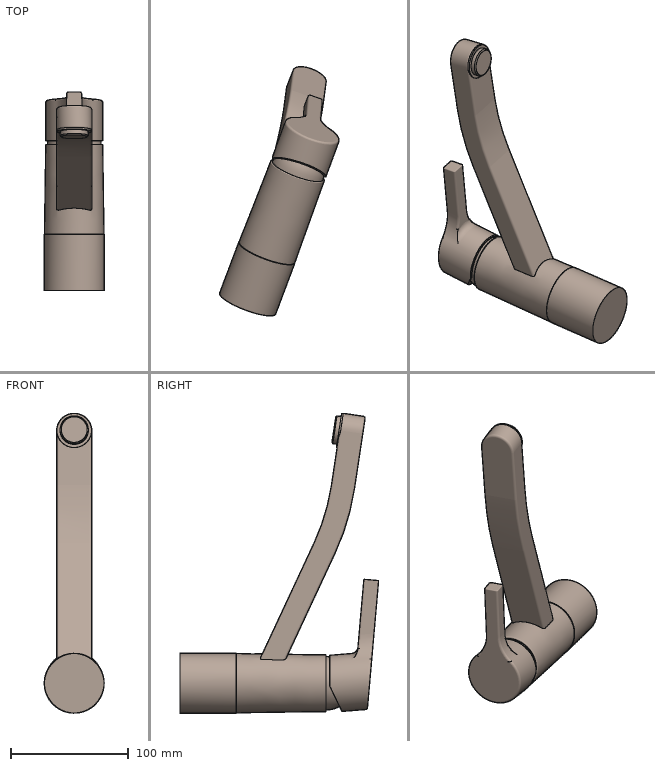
import cadquery as cq
import math

base_radius = 25.5
base_length = 48.0
base_chamfer = 0.3
body_end_y = 124.2
body_front_radius = 25.4
body_rear_radius = 24.3
body_edge_fillet = 1.0

neck_radius = 22.9

spout_width = 30.0
spout_depth = 20.0
spout_edge_fillet = 2.0
spout_axis_y = 69.4
spout_lower_lean = 25.0
spout_upper_lean = 8.6
spout_bend_y = 134.4
spout_bend_radius = 190.0
head_center_z = 213.14

collar_radius = 14.7
collar_proud = 0.5
aerator_radius = 12.0
aerator_length = 4.5
aerator_chamfer = 1.0

cap_radius = 24.3
cap_pivot_y = 133.5
cap_tilt = 4.5
cap_front_y = 127.0
cap_front_chamfer = 0.7
relief_top_z = -1.7
relief_slope = 25.6
rear_plane_y = 161.3
lever_lean = 5.0
lever_thickness = 12.8
lever_width = 12.8
lever_tip = 87.6
handle_edge_fillet = 1.8
lever_tip_fillet = 0.8
lever_root_fillet = 6.0
flare_start = 39.4

LARGE = 400.0


def turned(outline):
    """Revolve a closed half outline, drawn in X (radius) and Y, about the Y axis."""
    return outline.revolve(360, (0, 0, 0), (0, 1, 0))


def make_base():
    return (
        cq.Workplane("XZ").circle(base_radius).extrude(-base_length)
        .faces(">Y").edges().chamfer(base_chamfer)
    )


def up_direction(lean):
    """(y, z) unit vector that leans towards +Y by an angle from vertical."""
    angle = math.radians(lean)
    return math.sin(angle), math.cos(angle)


lower_y, lower_z = up_direction(spout_lower_lean)
upper_y, upper_z = up_direction(spout_upper_lean)
spout_bend_z = (spout_bend_y - spout_axis_y) * lower_z / lower_y
head_center_y = spout_bend_y + (head_center_z - spout_bend_z) * upper_y / upper_z


def head_plane(offset):
    """Plane parallel to the head front, facing forward, offset from the head centre."""
    normal = (0, -upper_z, upper_y)
    origin = (0, head_center_y - offset * upper_z, head_center_z + offset * upper_y)
    return cq.Plane(origin=origin, xDir=(1, 0, 0), normal=normal)


def make_spout():
    """Bent bar with a rounded head and the collar that carries the aerator."""
    half_turn = math.radians(spout_lower_lean - spout_upper_lean) / 2
    tangent = spout_bend_radius * math.tan(half_turn)
    start = (spout_bend_y - tangent * lower_y, spout_bend_z - tangent * lower_z)
    end = (spout_bend_y + tangent * upper_y, spout_bend_z + tangent * upper_z)
    center = (start[0] - spout_bend_radius * lower_z, start[1] + spout_bend_radius * lower_y)
    mid_lean = math.radians(spout_lower_lean + spout_upper_lean) / 2

    def offset(point, direction, distance):
        """Step sideways from a centreline point, towards the rear when positive."""
        return point[0] + distance * direction[1], point[1] - distance * direction[0]

    def bend_middle(distance):
        radius = spout_bend_radius + distance
        return center[0] + radius * math.cos(mid_lean), center[1] - radius * math.sin(mid_lean)

    lower = (lower_y, lower_z)
    upper = (upper_y, upper_z)
    half = spout_depth / 2
    foot = (spout_axis_y, 0)
    top = (head_center_y + spout_width / 2 * upper_y, head_center_z + spout_width / 2 * upper_z)
    side = (
        cq.Workplane("YZ")
        .moveTo(*offset(foot, lower, half))
        .lineTo(*offset(start, lower, half))
        .threePointArc(bend_middle(half), offset(end, upper, half))
        .lineTo(*offset(top, upper, half))
        .lineTo(*offset(top, upper, -half))
        .lineTo(*offset(end, upper, -half))
        .threePointArc(bend_middle(-half), offset(start, lower, -half))
        .lineTo(*offset(foot, lower, -half))
        .close()
        .extrude(spout_width / 2, both=True)
    )
    rounding = cq.Workplane(head_plane(-LARGE / 2)).circle(spout_width / 2).extrude(LARGE)
    shank = (
        cq.Workplane(head_plane(-LARGE / 2)).center(0, -LARGE / 2)
        .rect(spout_width, LARGE).extrude(LARGE)
    )
    bar = side.intersect(rounding.union(shank))
    bar = bar.faces(">X").edges("not <Z").fillet(spout_edge_fillet)
    collar_length = collar_proud + spout_edge_fillet
    collar_back = cq.Workplane(head_plane(spout_depth / 2 - spout_edge_fillet))
    return bar.union(collar_back.circle(collar_radius).extrude(collar_length))


def make_body():
    outline = (
        cq.Workplane("XY")
        .moveTo(0, base_length)
        .lineTo(body_front_radius, base_length)
        .lineTo(body_rear_radius, body_end_y)
        .lineTo(0, body_end_y)
        .close()
    )
    barrel = turned(outline)
    barrel = barrel.faces(">Y").edges().fillet(body_edge_fillet)
    return barrel.union(make_spout())


def make_aerator():
    face = head_plane(spout_depth / 2 + collar_proud)
    return (
        cq.Workplane(face).circle(aerator_radius).extrude(aerator_length)
        .edges("<Y").chamfer(aerator_chamfer)
    )


def make_neck():
    diagonal = neck_radius * math.sqrt(0.5)
    outline = (
        cq.Workplane("XY")
        .moveTo(0, body_end_y)
        .lineTo(neck_radius, body_end_y)
        .threePointArc((diagonal, body_end_y + diagonal), (0, body_end_y + neck_radius))
        .close()
    )
    return turned(outline)


def tilted(solid):
    """Move a solid built about the Y axis onto the tilted cap axis."""
    return solid.rotate((0, 0, 0), (1, 0, 0), cap_tilt).translate((0, cap_pivot_y, 0))


def leaning(solid):
    """Move a solid built on the plane Y = 0 onto the leaning rear face of the handle."""
    return solid.rotate((0, 0, 0), (1, 0, 0), -lever_lean).translate((0, rear_plane_y, 0))


def make_cap():
    cap = tilted(cq.Workplane("XZ").circle(cap_radius).extrude(LARGE / 2, both=True))
    block = cq.Workplane("XY").box(LARGE, LARGE, LARGE)
    cap = cap.intersect(block.translate((0, cap_front_y + LARGE / 2, 0)))
    cap = cap.faces("<Y").edges().chamfer(cap_front_chamfer)
    cap = cap.intersect(leaning(block.translate((0, -LARGE / 2, 0))))
    return cap.faces(">Y").edges().fillet(handle_edge_fillet)


def lever_prism():
    """Lever outline along the cap axis: straight sides that flare out tangent to the cap."""
    half = lever_width / 2
    flare_radius = (flare_start ** 2 + half ** 2 - cap_radius ** 2) / (2 * (cap_radius - half))
    flare_x = half + flare_radius
    contact = math.atan2(flare_start, flare_x)
    contact_x = cap_radius * math.cos(contact)
    contact_z = cap_radius * math.sin(contact)
    middle_x = flare_x - flare_radius * math.cos(contact / 2)
    middle_z = flare_start - flare_radius * math.sin(contact / 2)
    outline = (
        cq.Workplane("XZ")
        .moveTo(0, 0)
        .lineTo(contact_x, contact_z)
        .threePointArc((middle_x, middle_z), (half, flare_start))
        .lineTo(half, LARGE / 2)
        .lineTo(-half, LARGE / 2)
        .lineTo(-half, flare_start)
        .threePointArc((-middle_x, middle_z), (-contact_x, contact_z))
        .close()
    )
    return tilted(outline.extrude(LARGE / 4, both=True))


def make_lever():
    slab = cq.Workplane("XY").box(LARGE, lever_thickness, lever_tip, centered=(True, True, False))
    lever = lever_prism().intersect(leaning(slab.translate((0, -lever_thickness / 2, 0))))
    lever = lever.faces("<Y or >Y").edges("not |X").fillet(handle_edge_fillet)
    return lever.faces(">Z").edges().fillet(lever_tip_fillet)


def make_root_blend():
    """Concave blend between the lever front and the top of the cap, turned about the cap axis."""
    tilt = math.radians(cap_tilt)
    lean = math.radians(lever_lean)
    angle = tilt + lean
    front_y = rear_plane_y - lever_thickness / math.cos(lean)
    crossing = (front_y - cap_pivot_y) / (math.cos(tilt) - math.sin(tilt) * math.tan(lean))
    center_r = cap_radius + lever_root_fillet
    center_y = crossing + center_r * math.tan(angle) - lever_root_fillet / math.cos(angle)

    def arc_point(turn):
        return (
            center_r - lever_root_fillet * math.cos(turn),
            center_y + lever_root_fillet * math.sin(turn),
        )

    sweep = math.pi / 2 - angle
    top_r, top_y = arc_point(sweep)
    inside_y = top_y + lever_thickness / 4
    inside_r = cap_radius - handle_edge_fillet
    outline = (
        cq.Workplane("XY")
        .moveTo(inside_r, center_y)
        .lineTo(*arc_point(0))
        .threePointArc(arc_point(sweep / 2), (top_r, top_y))
        .lineTo(top_r, inside_y)
        .lineTo(inside_r, inside_y)
        .close()
    )
    return tilted(turned(outline)).intersect(lever_prism())


def make_handle(neck):
    """Cap and lever in one piece, hollowed to sit over the domed neck."""
    handle = make_cap().union(make_lever()).union(make_root_blend())
    relief = (
        cq.Workplane("YZ")
        .moveTo(cap_front_y, relief_top_z)
        .lineTo(cap_front_y + LARGE * math.tan(math.radians(relief_slope)), relief_top_z - LARGE)
        .lineTo(cap_front_y - LARGE, relief_top_z - LARGE)
        .lineTo(cap_front_y - LARGE, relief_top_z)
        .close()
        .extrude(LARGE, both=True)
    )
    return handle.cut(relief).cut(neck)


base = make_base()
body = make_body()
aerator = make_aerator()
neck = make_neck()
handle = make_handle(neck)

result = cq.Compound.makeCompound([
    base.solids().val(),
    body.solids().val(),
    neck.solids().val(),
    handle.solids().val(),
    aerator.solids().val(),
])